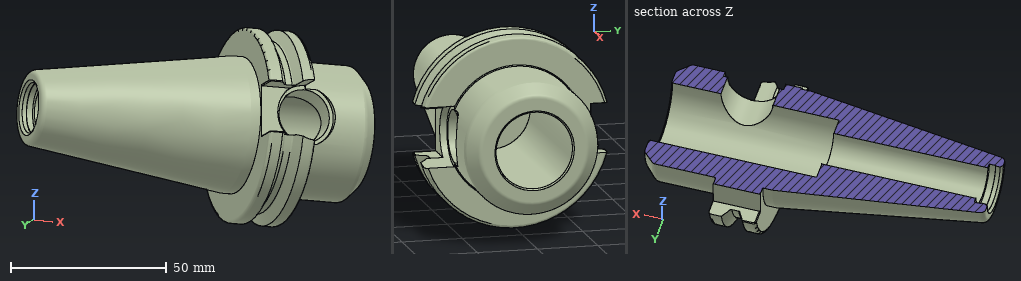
import cadquery as cq
import math

length = 112.7

tolerance = 0.1

body_d = 44.4
taper_end_x = 68.3
taper_ratio = 7 / 24
nose_d = body_d - taper_ratio * taper_end_x
nose_fillet = 1.9
body_chamfer = 4.3
body_fillet = 1.9

flange_d = 63.5
flange_x0 = 71.6
flange_x1 = 87.5
flange_fillet = 1.0
flange_root_fillet = 0.3
groove_center_x = 79.5
groove_depth = 3.6
groove_floor_width = 2.9
groove_fillet = 0.6
groove_flank_angle = 30

slot_width = 16.5
slot_edge_chamfer = 0.3
slot_floor_front = 22.7
slot_floor_back = 25.0

screw_x = 87.2
screw_d = 17.4
screw_recess_d = 20.1
screw_recess_floor = 20.3

pull_hole_d = 13.4
pull_land_d = 16.3
pull_land_end_x = 2.4
pull_relief_d = 16.8
pull_relief_end_x = 4.5
pull_mouth_d = 18.0
tool_bore_d = 25.4
tool_bore_depth = 56.4
tool_mouth_d = 26.4


def disc(diameter, x0, x1):
    """Cylinder on the X axis between two X positions."""
    return cq.Workplane("YZ", origin=(x0, 0, 0)).circle(diameter / 2).extrude(x1 - x0)


def cone(d0, d1, x0, x1):
    """Truncated cone on the X axis, from diameter d0 at x0 to d1 at x1."""
    outline = [(x0, 0), (x0, d0 / 2), (x1, d1 / 2), (x1, 0)]
    return cq.Workplane("XY").polyline(outline).close().revolve(360, (0, 0), (1, 0))


def around_x(x, reach):
    """Selector for edges centred within reach of an X position."""
    return cq.selectors.BoxSelector((x - reach, -body_d, -body_d), (x + reach, body_d, body_d))


def make_shank():
    taper = cone(nose_d, body_d, 0, taper_end_x).faces("<X").edges().fillet(nose_fillet)
    chamfer_x = length - body_chamfer
    body = disc(body_d, taper_end_x, chamfer_x)
    body = body.union(cone(body_d, body_d - 2 * body_chamfer, chamfer_x, length))
    chamfer_edges = around_x(length, body_chamfer + tolerance)
    body = body.edges("%CIRCLE").edges(chamfer_edges).fillet(body_fillet)
    return taper.union(body)


def make_flange():
    rim_r = flange_d / 2
    floor_r = rim_r - groove_depth
    floor_half = groove_floor_width / 2
    rim_half = floor_half + groove_depth * math.tan(math.radians(groove_flank_angle))
    outline = [
        (groove_center_x - rim_half, rim_r),
        (groove_center_x - floor_half, floor_r),
        (groove_center_x + floor_half, floor_r),
        (groove_center_x + rim_half, rim_r),
    ]
    groove = cq.Workplane("XY").polyline(outline).close().revolve(360, (0, 0), (1, 0))
    flange = disc(flange_d, flange_x0, flange_x1)
    flange = flange.faces("<X or >X").edges().fillet(flange_fillet).cut(groove)
    floor_edges = around_x(groove_center_x, (floor_half + rim_half) / 2)
    return flange.edges("%CIRCLE").edges(floor_edges).fillet(groove_fillet)


def make_slot(side, floor):
    """Drive slot cutter; side is -1 for -Y and +1 for +Y."""
    depth = flange_d / 2
    slot_length = flange_x1 - flange_x0
    center_x = (flange_x0 + flange_x1) / 2
    center_y = side * (floor + depth / 2)
    slot = cq.Workplane("XY").box(slot_length, depth, slot_width)
    return slot.translate((center_x, center_y, 0))


def break_slot_edges(flange, side, floor):
    """Chamfer one slot's edges along the -X face and along the rim ahead of the groove."""
    edge_z = slot_width / 2
    y_near, y_far = sorted((side * (floor + tolerance), side * flange_d))
    for z in (-edge_z, edge_z):
        region = cq.selectors.BoxSelector(
            (flange_x0 - tolerance, y_near, z - tolerance),
            (groove_center_x - groove_floor_width, y_far, z + tolerance),
        )
        flange = flange.edges(region).chamfer(slot_edge_chamfer)
    return flange


def radial_cylinder(diameter, y_floor):
    """Cylinder entering from -Y at the screw position and ending at y_floor."""
    plane = cq.Workplane("XZ", origin=(screw_x, y_floor, 0))
    return plane.circle(diameter / 2).extrude(flange_d)


flange = make_flange()
for side, floor in ((-1, slot_floor_front), (1, slot_floor_back)):
    flange = flange.cut(make_slot(side, floor))
    flange = break_slot_edges(flange, side, floor)

result = make_shank().union(flange)
smallest = cq.selectors.RadiusNthSelector(0)
flange_back_edges = result.edges("%CIRCLE").edges(around_x(flange_x1, tolerance))
result = flange_back_edges.edges(smallest).fillet(flange_root_fillet)

result = result.cut(radial_cylinder(screw_recess_d, -screw_recess_floor))
result = result.cut(radial_cylinder(screw_d, 0))

pull_mouth_depth = (pull_mouth_d - pull_land_d) / 2
result = result.cut(disc(pull_hole_d, 0, length))
result = result.cut(cone(pull_mouth_d, pull_land_d, 0, pull_mouth_depth))
result = result.cut(disc(pull_land_d, 0, pull_land_end_x))
result = result.cut(disc(pull_relief_d, pull_land_end_x, pull_relief_end_x))

mouth_chamfer = (tool_mouth_d - tool_bore_d) / 2
result = result.cut(disc(tool_bore_d, length - tool_bore_depth, length))
result = result.cut(cone(tool_bore_d, tool_mouth_d, length - mouth_chamfer, length))